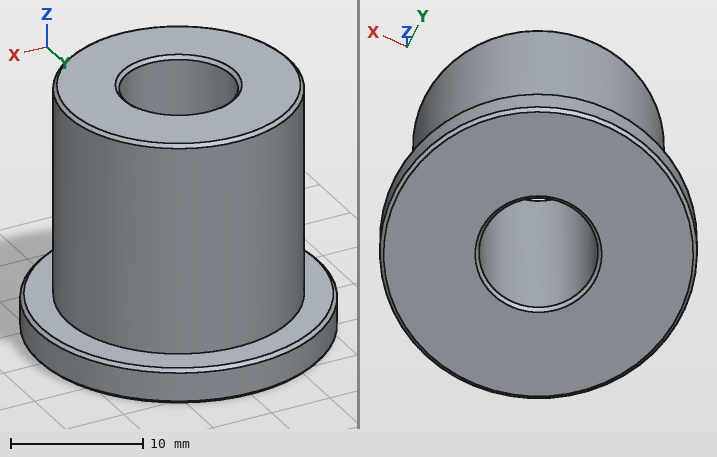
import cadquery as cq

flange_diameter = 24.0
flange_thickness = 3.0
body_diameter = 19.0
total_height = 21.0
bore_diameter = 9.0
edge_chamfer = 0.3


def chamfered_disc(diameter, height):
    """Upright cylinder standing on Z = 0 with both rims chamfered."""
    return cq.Workplane("XY").circle(diameter / 2).extrude(height).edges("%CIRCLE").chamfer(edge_chamfer)


flange = chamfered_disc(flange_diameter, flange_thickness)
body = chamfered_disc(body_diameter, total_height)
bushing = flange.union(body)

bore = cq.Workplane("XY").circle(bore_diameter / 2).extrude(total_height)
bore_edges = cq.selectors.RadiusNthSelector(0)
result = bushing.cut(bore).edges(bore_edges).chamfer(edge_chamfer)